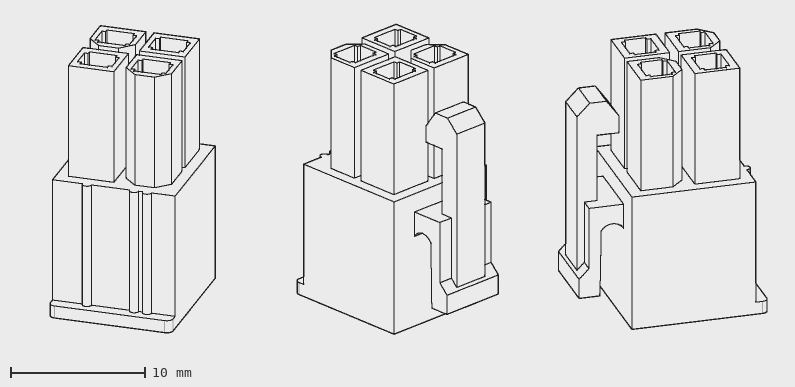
import cadquery as cq

body_width = 9.6
body_depth = 9.65
body_height = 10.8
total_height = 19.8

flange_overhang = 0.99
flange_height = 0.99
flange_corner_radius = 0.5

pitch = 4.2
post_width = 3.56
post_depth = 3.5
post_chamfer = 1.0
hole_wide_width = 2.71
hole_wide_depth = 1.66
hole_narrow_width = 2.14
hole_narrow_depth = 2.28

rib_radius = 0.35
rib_pair_offset = 0.505

latch_rear = 3.46
lever_width = 5.35
lever_bottom = 2.05
lever_top = 9.3
lever_step = 2.7
lever_pad_top = 3.62
leg_inner_bottom = 1.85
arch_width = 1.75
arch_side = 7.33
arch_top = 7.82

arm_width = 2.93
arm_inner = 1.7
arm_outer = 3.27
arm_top = 17.3
arm_chamfer = 0.99
hook_bottom = 14.61
hook_nose_top = 15.98
hook_lead_in = 0.97

column_x = pitch / 2
front_row_y = -body_depth / 2 - pitch / 2
rear_row_y = front_row_y + pitch


def block(width, depth, height, x, y, z=0):
    """Upright box centred on (x, y) and standing on height z."""
    return cq.Workplane("XY").box(width, depth, height, (True, True, False)).translate((x, y, z))


def make_body():
    """Main block with its rounded front flange."""
    flange_depth = body_depth + flange_overhang
    flange = block(body_width, flange_depth, flange_height, 0, -flange_depth / 2)
    flange = flange.edges("|Z and <Y").fillet(flange_corner_radius)
    return block(body_width, body_depth, body_height, 0, -body_depth / 2).union(flange)


def make_post(x, y, keyed):
    """Contact post on top of the body; a keyed post has its two front edges chamfered."""
    post = block(post_width, post_depth, total_height - body_height, x, y, body_height)
    if keyed:
        post = post.edges("|Z and <Y").chamfer(post_chamfer)
    return post


def make_hole(x, y):
    """Cross-shaped contact hole through the full height."""
    wide = block(hole_wide_width, hole_wide_depth, total_height, x, y)
    return wide.union(block(hole_narrow_width, hole_narrow_depth, total_height, x, y))


def make_rib(x):
    """Round rib sunk to its axis in the front face, from the flange to the body top."""
    rib = cq.Workplane("XY").circle(rib_radius).extrude(body_height - flange_height)
    return rib.translate((x, -body_depth, flange_height))


def make_lever():
    """Wide latch lever: bridge to the body, arched relief, and thumb pad at the bottom."""
    pad_slope_top = lever_pad_top + latch_rear - lever_step
    return (
        cq.Workplane("YZ", origin=(-lever_width / 2, 0, 0))
        .moveTo(0, lever_top)
        .lineTo(lever_step, lever_top)
        .lineTo(lever_step, pad_slope_top)
        .lineTo(latch_rear, lever_pad_top)
        .lineTo(latch_rear, lever_bottom)
        .lineTo(leg_inner_bottom, lever_bottom)
        .lineTo(arch_width, arch_side)
        .threePointArc((arch_width / 2, arch_top), (0, arch_side))
        .close()
        .extrude(lever_width)
    )


def make_arm():
    """Narrow latch arm rising from the lever pad to a hook facing the posts."""
    return (
        cq.Workplane("YZ", origin=(-arm_width / 2, 0, 0))
        .moveTo(arm_outer, lever_pad_top)
        .lineTo(arm_outer, arm_top - arm_chamfer)
        .lineTo(arm_outer - arm_chamfer, arm_top)
        .lineTo(hook_lead_in, arm_top)
        .lineTo(0, hook_nose_top)
        .lineTo(0, hook_bottom)
        .lineTo(arm_inner, hook_bottom)
        .lineTo(arm_inner, lever_top)
        .lineTo(lever_step, lever_top)
        .lineTo(lever_step, lever_pad_top)
        .close()
        .extrude(arm_width)
    )


result = make_body().union(make_lever()).union(make_arm())

for rib_x in (-column_x, column_x - rib_pair_offset, column_x + rib_pair_offset):
    result = result.union(make_rib(rib_x))

for post_x in (-column_x, column_x):
    for post_y in (front_row_y, rear_row_y):
        is_keyed = (post_x < 0) == (post_y == rear_row_y)
        result = result.union(make_post(post_x, post_y, is_keyed))
        result = result.cut(make_hole(post_x, post_y))